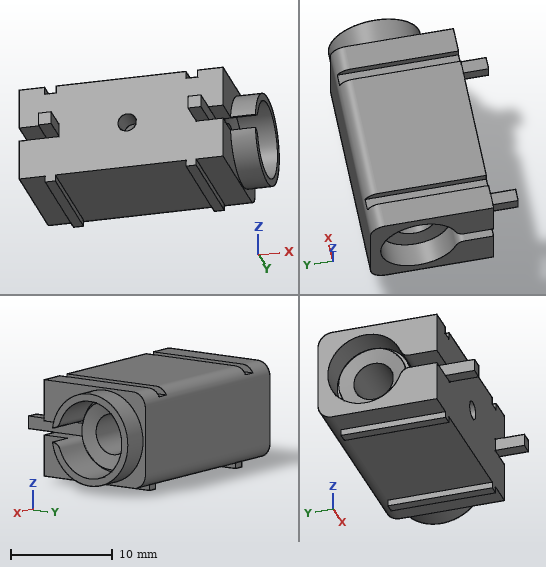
import cadquery as cq
import math


overall_length = 23.37
block_length = 20.83
block_depth = 12.4
block_height = 9.7
corner_radius = 1.5
boss_radius = 4.64

axis_offset_from_back = 4.93
axis_y = block_depth - axis_offset_from_back
axis_z = block_height / 2

groove_width = 1.18
groove_depth = 0.75
groove_centers = (3.19, 17.63)
rib_width = 1.03
rib_height = 0.65
rib_centers = (3.18, 17.57)

blind_hole_x = 11.03
blind_hole_radius = 0.93
blind_hole_depth = 2.5
drill_point_angle = 118

ring_radius = 3.84
contact_thickness = 1.31
pin_height = 1.28
pin_projection = 3.0
near_contact_x = 2.75
far_contact_x = 18.05

socket_radius = 3.9
slot_height = 1.42
slot_mouth_fillet = 1.0

tube_hole_radius = 2.05
lip_radius = 3.5
lip_edge_width = 0.36
lip_overhang = 0.58
dish_depth = 0.4
lip_slope = dish_depth / (lip_radius - tube_hole_radius)
tube_radius = lip_radius - (lip_overhang - lip_edge_width) / lip_slope

near_socket_end = near_contact_x + contact_thickness
near_lip_x = near_contact_x - lip_overhang
far_lip_x = far_contact_x + contact_thickness + lip_overhang


def axial_cylinder(radius, start_x, end_x):
    """Cylinder on the barrel axis between two X positions."""
    plane = cq.Workplane("YZ", origin=(start_x, axis_y, axis_z))
    return plane.circle(radius).extrude(end_x - start_x)


def box_between(x_range, y_range, z_range):
    """Box given by its limits along each axis."""
    sizes = [high - low for low, high in (x_range, y_range, z_range)]
    corner = (x_range[0], y_range[0], z_range[0])
    return cq.Workplane("XY", origin=corner).box(*sizes, centered=False)


def centered_range(center, width):
    return (center - width / 2, center + width / 2)


def make_socket(start_x, end_x):
    """Keyhole-shaped space: a round socket with a slot out to the pin side."""
    bore = axial_cylinder(socket_radius, start_x, end_x)
    slot = box_between((start_x, end_x), (0, axis_y), centered_range(axis_z, slot_height))
    keyhole = bore.union(slot)
    mouth_y = axis_y - math.sqrt(socket_radius**2 - (slot_height / 2) ** 2)
    mouth_edges = cq.selectors.BoxSelector(
        (start_x, mouth_y - slot_mouth_fillet, axis_z - slot_height),
        (end_x, mouth_y + slot_mouth_fillet, axis_z + slot_height),
    )
    return keyhole.edges("|X").edges(mouth_edges).fillet(slot_mouth_fillet)


def make_blind_hole():
    """Half section of the drilled space, revolved about the hole axis."""
    point_depth = blind_hole_radius / math.tan(math.radians(drill_point_angle / 2))
    section = [
        (0, 0),
        (blind_hole_radius, 0),
        (blind_hole_radius, blind_hole_depth),
        (0, blind_hole_depth + point_depth),
    ]
    plane = cq.Workplane("XY", origin=(blind_hole_x, 0, axis_z))
    return plane.polyline(section).close().revolve(360, (0, 0, 0), (0, 1, 0))


def make_housing():
    block = box_between((0, block_length), (0, block_depth), (0, block_height))
    block = block.edges("|X and >Y").fillet(corner_radius)
    body = block.union(axial_cylinder(boss_radius, block_length, overall_length))

    for center in groove_centers:
        groove = box_between(
            centered_range(center, groove_width),
            (0, block_depth),
            (block_height - groove_depth, block_height),
        )
        body = body.cut(groove)

    for center in rib_centers:
        rib = box_between(
            centered_range(center, rib_width),
            (0, block_depth - corner_radius),
            (-rib_height, 0),
        )
        body = body.union(rib)

    body = body.cut(make_blind_hole())
    body = body.cut(make_socket(0, near_socket_end))
    body = body.cut(make_socket(far_contact_x, overall_length))
    return body.cut(axial_cylinder(tube_radius, 0, overall_length))


def make_contact(start_x):
    end_x = start_x + contact_thickness
    ring = axial_cylinder(ring_radius, start_x, end_x)
    pin = box_between(
        (start_x, end_x),
        (-pin_projection, axis_y),
        centered_range(axis_z, pin_height),
    )
    return ring.union(pin).cut(axial_cylinder(tube_radius, start_x, end_x))


def make_tube():
    """Half section revolved about the barrel axis; (x, radius) from the near lip to the far lip."""
    section = [
        (near_lip_x + dish_depth, tube_hole_radius),
        (near_lip_x, lip_radius),
        (near_lip_x + lip_edge_width, lip_radius),
        (near_contact_x, tube_radius),
        (far_contact_x + contact_thickness, tube_radius),
        (far_lip_x - lip_edge_width, lip_radius),
        (far_lip_x, lip_radius),
        (far_lip_x - dish_depth, tube_hole_radius),
    ]
    plane = cq.Workplane("XY", origin=(0, axis_y, axis_z))
    return plane.polyline(section).close().revolve(360, (0, 0, 0), (1, 0, 0))


housing = make_housing()
contacts = [make_contact(start_x) for start_x in (near_contact_x, far_contact_x)]
tube = make_tube()

result = cq.Compound.makeCompound(
    [housing.val(), *[contact.val() for contact in contacts], tube.val()]
)